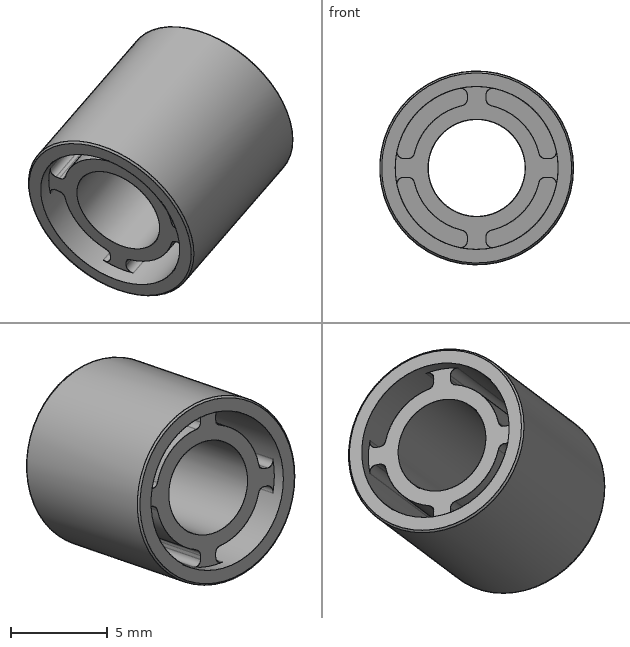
import cadquery as cq

outer_diameter = 10.0
length = 10.0
rim_chamfer = 0.1

wall_thickness = 0.8
bore_diameter = 5.0
cavity_diameter = outer_diameter - 2 * wall_thickness
hub_diameter = bore_diameter + 2 * wall_thickness
cavity_depth = length - wall_thickness

hub_recess = 0.8
spoke_width = 0.96
pocket_corner_radius = 0.35


def cylinder(diameter, depth):
    """Solid cylinder on the Y axis, running from the front face toward +Y."""
    return cq.Workplane("XZ").circle(diameter / 2).extrude(-depth)


def make_pockets():
    """Four curved pockets: a ring split by a cross of spokes, with rounded corners."""
    pockets = cylinder(cavity_diameter, cavity_depth).cut(cylinder(hub_diameter, cavity_depth))
    for width, height in ((spoke_width, outer_diameter), (outer_diameter, spoke_width)):
        spoke_bar = cq.Workplane("XZ").rect(width, height).extrude(-cavity_depth)
        pockets = pockets.cut(spoke_bar)
    return pockets.edges("|Y").fillet(pocket_corner_radius)


sleeve = cylinder(outer_diameter, length).edges("%CIRCLE").chamfer(rim_chamfer)
bore = cylinder(bore_diameter, length)

spoked_hub = cylinder(cavity_diameter, cavity_depth).cut(cylinder(cavity_diameter, hub_recess))
spoked_hub = spoked_hub.cut(make_pockets())
hollow_sleeve = sleeve.cut(cylinder(cavity_diameter, cavity_depth))

result = hollow_sleeve.union(spoked_hub).cut(bore)